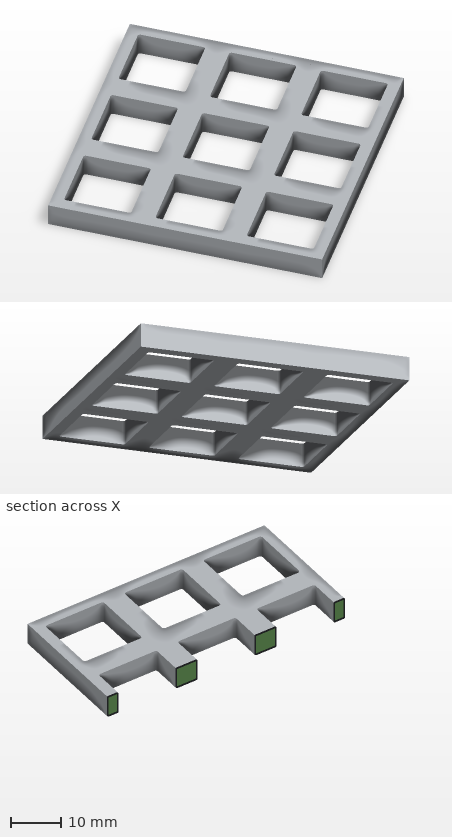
import cadquery as cq

plate_side = 57.15
plate_thickness = 5.0
cells_per_side = 3
cell_pitch = plate_side / cells_per_side
window_side = 14.0
window_corner_radius = 0.5

plate = cq.Workplane("XY").box(plate_side, plate_side, plate_thickness)

windows = (
    cq.Workplane("XY")
    .rarray(cell_pitch, cell_pitch, cells_per_side, cells_per_side)
    .rect(window_side, window_side)
    .extrude(plate_thickness, both=True)
    .edges("|Z")
    .fillet(window_corner_radius)
)

result = plate.cut(windows)